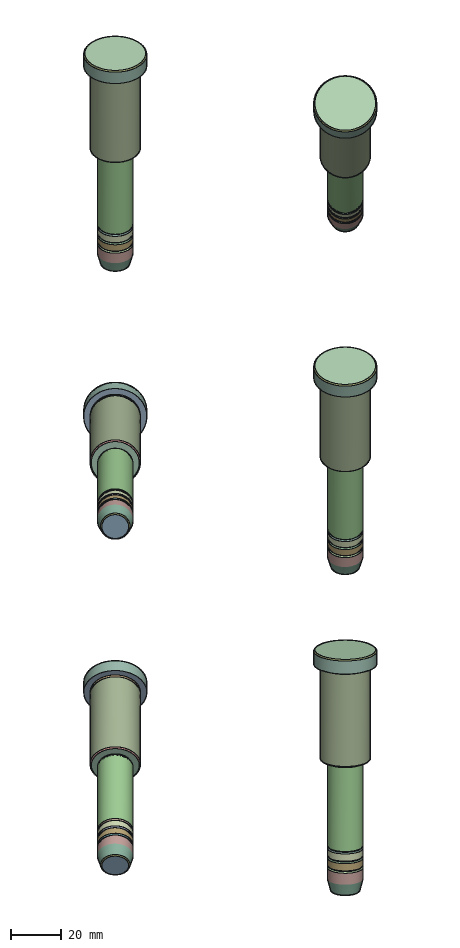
import cadquery as cq
import math

total_length = 101.0
head_radius = 12.5
head_height = 6.0
body_radius = 10.0
body_end = 46.0
shank_radius = 7.1
edge_chamfer = 0.5

neck_depth = 0.5
neck_height = 1.0

groove_width = 1.0
groove_depth = 0.5
first_groove = 82.0
groove_pitch = 4.0
groove_count = 3

taper_start = 96.0
taper_angle = 15.0
tip_chamfer = 0.4


def cylinder(radius, start, end):
    """Solid cylinder between two depths below the top face."""
    return cq.Workplane("XY").workplane(offset=total_length - end).circle(radius).extrude(end - start)


def make_head():
    return cylinder(head_radius, 0, head_height).faces(">Z").chamfer(edge_chamfer)


def make_body():
    """Body with a chamfered lower edge."""
    return cylinder(body_radius, head_height, body_end).faces("<Z").chamfer(edge_chamfer)


def make_shank():
    """Shank with a neck below the body and a tapered, chamfered tip."""
    neck_radius = shank_radius - neck_depth
    neck_end = total_length - body_end - neck_height
    taper_base = total_length - taper_start
    tip_radius = shank_radius - taper_base * math.tan(math.radians(taper_angle))
    profile = [
        (0, 0),
        (tip_radius, 0),
        (shank_radius, taper_base),
        (shank_radius, neck_end),
        (neck_radius, neck_end),
        (neck_radius, total_length - body_end),
        (0, total_length - body_end),
    ]
    shank = cq.Workplane("XZ").polyline(profile).close().revolve(360, (0, 0), (0, 1))
    return shank.faces("<Z").chamfer(tip_chamfer)


def make_groove(surface_radius, start):
    """Ring that cuts a V groove into a cylinder, starting at the given depth."""
    top = total_length - start
    profile = [
        (surface_radius, top),
        (surface_radius - groove_depth, top - groove_width / 2),
        (surface_radius, top - groove_width),
    ]
    return cq.Workplane("XZ").polyline(profile).close().revolve(360, (0, 0), (0, 1))


result = make_head().union(make_body()).union(make_shank())
result = result.cut(make_groove(body_radius, head_height))
for index in range(groove_count):
    result = result.cut(make_groove(shank_radius, first_groove + index * groove_pitch))